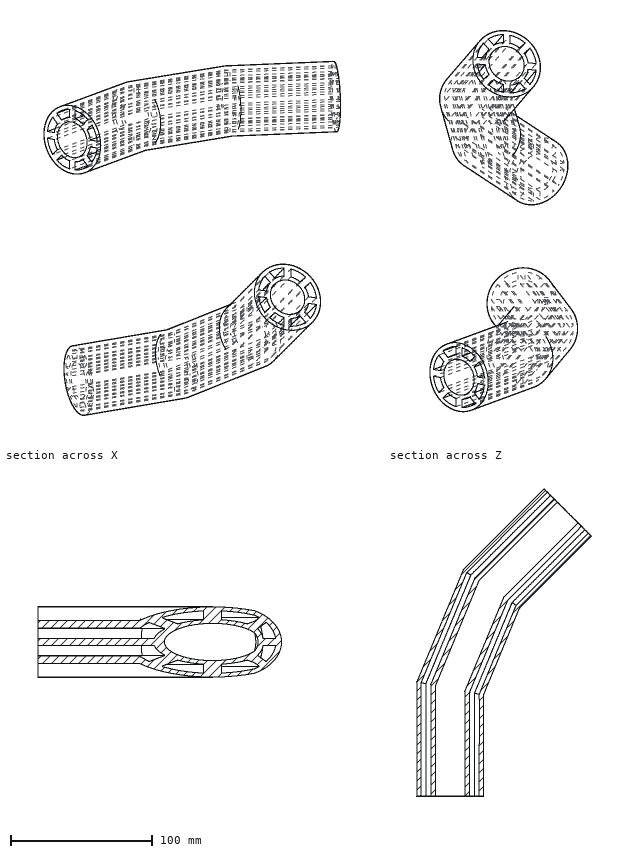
import cadquery as cq
import math

overall_length = 218.2
outer_diameter = 50.0
bore_diameter = 26.0
wall_thickness = 3.0
spoke_width = 5.0
spoke_count = 8
leg_count = 3
bend_angle = 22.5

outer_radius = outer_diameter / 2
bore_radius = bore_diameter / 2
channel_outer_radius = outer_radius - wall_thickness
channel_inner_radius = bore_radius + wall_thickness
leg_angles = [math.radians(bend_angle * leg) for leg in range(leg_count)]

end_face_overhang = outer_radius * math.sin(leg_angles[-1])
leg_length = (overall_length - end_face_overhang) / sum(math.cos(angle) for angle in leg_angles)


def centre_line():
    """Path through the mitred elbow, starting along +Y and turning towards +X."""
    x, y = 0.0, 0.0
    points = [(x, y)]
    for angle in leg_angles:
        x += leg_length * math.sin(angle)
        y += leg_length * math.cos(angle)
        points.append((x, y))
    return cq.Workplane("XY").polyline(points)


def sweep_along_legs(profile):
    """Sweep a profile in the XZ plane along the legs, with mitred corners."""
    return profile.sweep(centre_line(), transition="right")


def channel_profile():
    """One lightening channel: a ring sector between two neighbouring spokes."""
    half_spoke = spoke_width / 2
    sector_angle = 2 * math.pi / spoke_count

    def sector_corners(radius):
        """Start, middle and end of an arc whose ends lie on the spoke sides."""
        spoke_side_angle = math.asin(half_spoke / radius)
        angles = (spoke_side_angle, sector_angle / 2, sector_angle - spoke_side_angle)
        return [(radius * math.cos(angle), radius * math.sin(angle)) for angle in angles]

    outer_start, outer_middle, outer_end = sector_corners(channel_outer_radius)
    inner_start, inner_middle, inner_end = sector_corners(channel_inner_radius)
    return (
        cq.Workplane("XZ")
        .moveTo(*outer_start)
        .threePointArc(outer_middle, outer_end)
        .lineTo(*inner_end)
        .threePointArc(inner_middle, inner_start)
        .close()
    )


def channel(index):
    """Channel through all legs, in the gap that follows the spoke of this index."""
    turned_profile = channel_profile().val().rotate((0, 0, 0), (0, 1, 0), index * 360 / spoke_count)
    return sweep_along_legs(cq.Workplane("XZ").add(turned_profile).toPending())


tube = sweep_along_legs(cq.Workplane("XZ").circle(outer_radius))
bore = sweep_along_legs(cq.Workplane("XZ").circle(bore_radius))
result = tube.cut(bore)

for spoke_index in range(spoke_count):
    result = result.cut(channel(spoke_index))